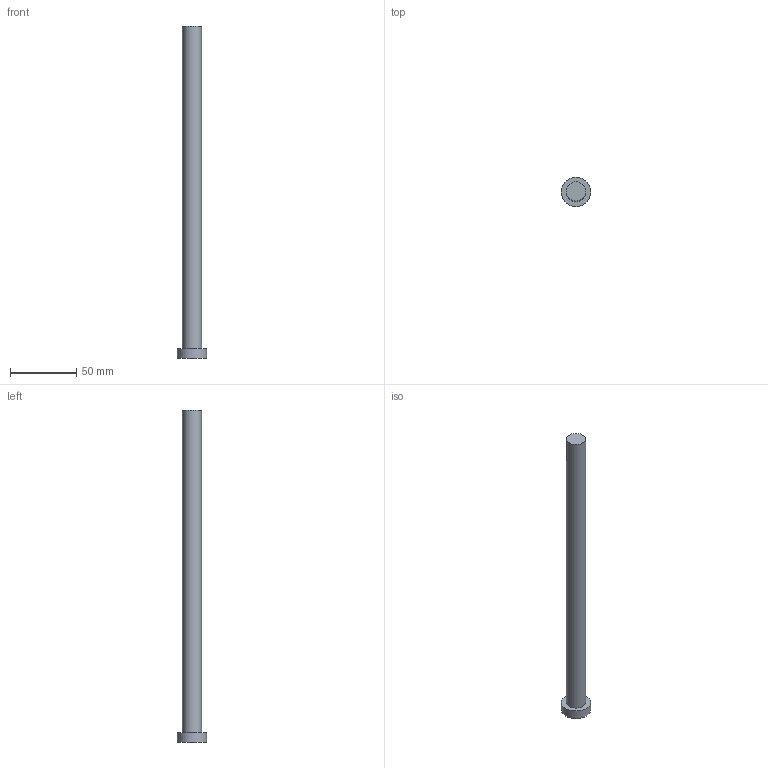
import cadquery as cq

total_length = 250.0
head_diameter = 22.0
head_height = 7.0
shaft_diameter = 14.5


def make_head():
    return cq.Workplane("XY").circle(head_diameter / 2).extrude(head_height)


def make_shaft():
    return cq.Workplane("XY").circle(shaft_diameter / 2).extrude(total_length)


result = make_head().union(make_shaft())